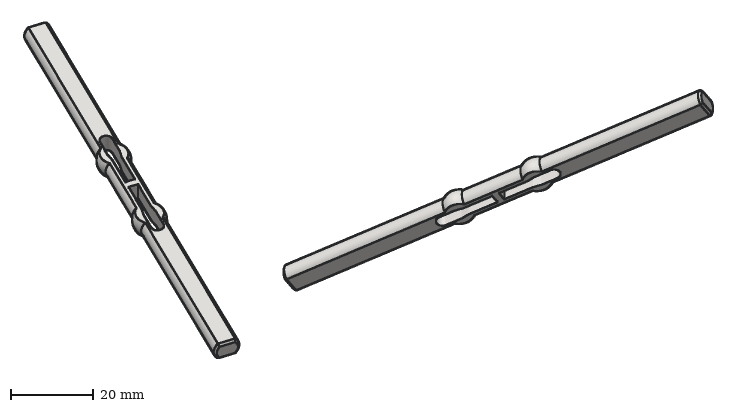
import cadquery as cq

length = 118.8
rod_diameter = 6.8
thickness = 5.0
end_chamfer = 0.6
rod_radius = rod_diameter / 2

bulge_diameter = 8.5
bulge_length = 5.5
bulge_offset = 11.0
bulge_radius = bulge_diameter / 2

web_thickness = 1.9
slot_narrow_width = 2.5
slot_wide_width = 3.2
taper_start = 9.1
taper_end = 11.3
slot_tip = 17.5


def rod():
    """Round bar along X, centred on the origin."""
    return cq.Workplane("YZ").circle(rod_radius).extrude(length / 2, both=True)


def bulge(center_x):
    """Solid ring whose outer profile is an arc swelling out of the bar."""
    start_x = center_x - bulge_length / 2
    end_x = center_x + bulge_length / 2
    return (
        cq.Workplane("XY")
        .moveTo(start_x, 0)
        .lineTo(start_x, rod_radius)
        .threePointArc((center_x, bulge_radius), (end_x, rod_radius))
        .lineTo(end_x, 0)
        .close()
        .revolve(360, (0, 0, 0), (1, 0, 0))
    )


def slot(side):
    """Through slot on one side of the web, widening toward a round tip."""
    narrow = slot_narrow_width / 2
    wide = slot_wide_width / 2
    web_face = web_thickness / 2
    tip_center = slot_tip - wide
    return (
        cq.Workplane("XY")
        .moveTo(side * web_face, -narrow)
        .lineTo(side * taper_start, -narrow)
        .lineTo(side * taper_end, -wide)
        .lineTo(side * tip_center, -wide)
        .threePointArc((side * slot_tip, 0), (side * tip_center, wide))
        .lineTo(side * taper_end, wide)
        .lineTo(side * taper_start, narrow)
        .lineTo(side * web_face, narrow)
        .close()
        .extrude(thickness, both=True)
    )


sides = (-1, 1)

body = rod()
for side in sides:
    body = body.union(bulge(side * bulge_offset))

slab = cq.Workplane("XY").box(length, 2 * bulge_diameter, thickness)
body = body.intersect(slab)

body = body.faces("<X or >X").chamfer(end_chamfer)

for side in sides:
    body = body.cut(slot(side))

result = body